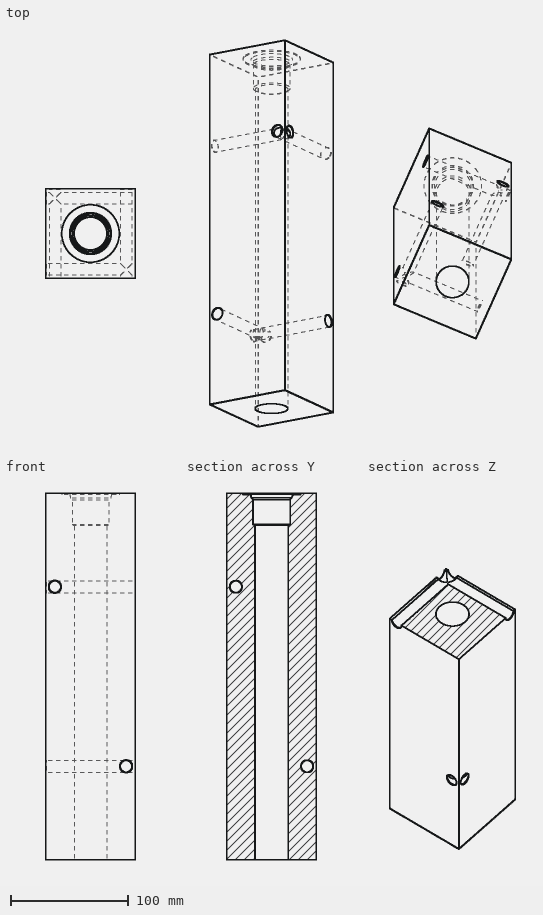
import cadquery as cq
import math

WIDTH = 76.2
HEIGHT = 311.15
EDGE_CHAMFER = 0.25

BORE_DIAMETER = 27.8
SPOTFACE_DIAMETER = 48.8
SPOTFACE_DEPTH = 1.0
SEAT_DIAMETER = 35.4
SEAT_DEPTH = 3.0
SEAT_HALF_ANGLE = 12.0
THREAD_DIAMETER = 31.2
THREAD_LEAD_IN_ANGLE = 45.0
THREAD_DEPTH = 25.4
THREAD_END_ANGLE = 59.0

MOUNT_DIAMETER = 10.0
MOUNT_CHAMFER = 0.4
MOUNT_EDGE_DISTANCE = 7.9
MOUNT_END_DISTANCE = 79.4

mount_offset = WIDTH / 2 - MOUNT_EDGE_DISTANCE
mount_low_z = MOUNT_END_DISTANCE
mount_high_z = HEIGHT - MOUNT_END_DISTANCE


def cone_length(large_radius, small_radius, half_angle):
    """Axial length of a cone frustum whose wall leans half_angle degrees from its axis."""
    return (large_radius - small_radius) / math.tan(math.radians(half_angle))


def make_block():
    block = cq.Workplane("XY").box(WIDTH, WIDTH, HEIGHT, centered=(True, True, False))
    return block.edges().chamfer(EDGE_CHAMFER)


def make_port_and_bore():
    """Revolved cutter: through bore, plain thread-minor bore, conical seal seat and spotface."""
    bore_radius = BORE_DIAMETER / 2
    thread_radius = THREAD_DIAMETER / 2
    seat_radius = SEAT_DIAMETER / 2
    spotface_radius = SPOTFACE_DIAMETER / 2
    seat_bottom_radius = seat_radius - SEAT_DEPTH * math.tan(math.radians(SEAT_HALF_ANGLE))

    spotface_z = HEIGHT - SPOTFACE_DEPTH
    seat_bottom_z = spotface_z - SEAT_DEPTH
    thread_top_z = seat_bottom_z - cone_length(seat_bottom_radius, thread_radius, THREAD_LEAD_IN_ANGLE)
    thread_bottom_z = spotface_z - THREAD_DEPTH
    bore_top_z = thread_bottom_z - cone_length(thread_radius, bore_radius, THREAD_END_ANGLE)

    profile = [
        (0, 0),
        (bore_radius, 0),
        (bore_radius, bore_top_z),
        (thread_radius, thread_bottom_z),
        (thread_radius, thread_top_z),
        (seat_bottom_radius, seat_bottom_z),
        (seat_radius, spotface_z),
        (spotface_radius, spotface_z),
        (spotface_radius, HEIGHT),
        (0, HEIGHT),
    ]
    return cq.Workplane("XZ").polyline(profile).close().revolve(360, (0, 0), (0, 1))


def make_mount_hole(axis, across, z):
    """Chamfered cylinder crossing the full width of the block along the X or Y axis."""
    radius = MOUNT_DIAMETER / 2
    mouth_radius = radius + MOUNT_CHAMFER
    half_width = WIDTH / 2
    chamfer_start = half_width - MOUNT_CHAMFER
    profile = [
        (0, -half_width),
        (mouth_radius, -half_width),
        (radius, -chamfer_start),
        (radius, chamfer_start),
        (mouth_radius, half_width),
        (0, half_width),
    ]
    cutter = cq.Workplane("XY").polyline(profile).close().revolve(360, (0, 0), (0, 1))
    if axis == "X":
        return cutter.rotate((0, 0, 0), (0, 0, 1), 90).translate((0, across, z))
    return cutter.translate((across, 0, z))


result = make_block().cut(make_port_and_bore())
for side, z in ((-1, mount_high_z), (1, mount_low_z)):
    result = result.cut(make_mount_hole("X", -side * mount_offset, z))
    result = result.cut(make_mount_hole("Y", side * mount_offset, z))